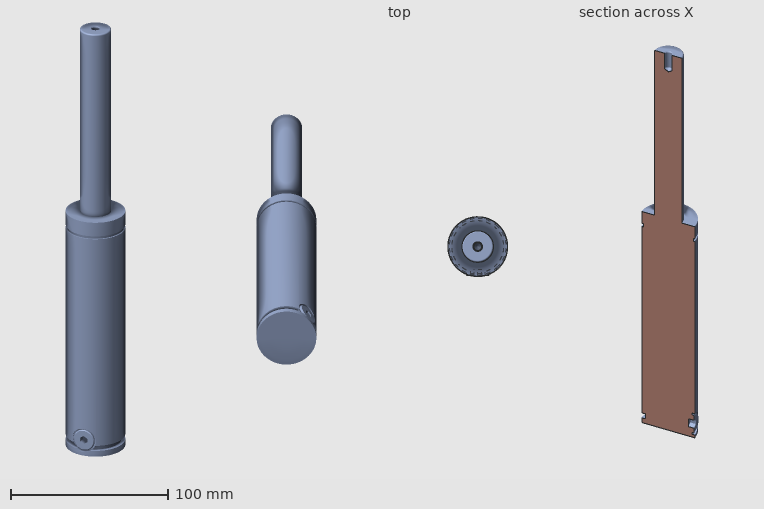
import cadquery as cq
import math

body_diameter = 38.0
body_height = 163.0
total_height = 290.0

rod_diameter = 20.0
rod_end_fillet = 1.0
rod_hole_diameter = 5.0
rod_hole_depth = 12.0
rod_hole_chamfer = 0.5
drill_tip_angle = 118.0

mount_groove_bottom = 4.0
mount_groove_width = 3.5
mount_groove_depth = 2.5
cap_height = 9.5
cap_groove_width = 2.0
cap_groove_depth = 1.0

port_height = 10.5
port_diameter = 16.0
port_floor_depth = 2.0
plug_diameter = 14.0
plug_recess = 0.5
plug_chamfer = 0.5
socket_sides = 6
socket_width = 5.0
socket_depth = 4.0

body_radius = body_diameter / 2


def ring_groove(bottom, width, depth):
    """Ring that cuts a groove of the given width and depth into the body's outside."""
    return (
        cq.Workplane("XY", origin=(0, 0, bottom))
        .circle(body_radius + depth)
        .circle(body_radius - depth)
        .extrude(width)
    )


def make_body():
    """Cylinder with a mounting groove near its foot and a groove under its cap."""
    body = cq.Workplane("XY").circle(body_radius).extrude(body_height)
    body = body.cut(ring_groove(mount_groove_bottom, mount_groove_width, mount_groove_depth))
    cap_groove_bottom = body_height - cap_height - cap_groove_width
    return body.cut(ring_groove(cap_groove_bottom, cap_groove_width, cap_groove_depth))


def make_rod():
    """Piston rod that stands on the body, with a rounded end."""
    return (
        cq.Workplane("XY", origin=(0, 0, body_height))
        .circle(rod_diameter / 2)
        .extrude(total_height - body_height)
        .faces(">Z")
        .edges()
        .fillet(rod_end_fillet)
    )


def port_cylinder(diameter, depth):
    """Cylinder along Y from the body's axis to the given depth below the body's -Y side."""
    return (
        cq.Workplane("XZ", origin=(0, 0, port_height))
        .circle(diameter / 2)
        .extrude(body_radius - depth)
    )


def make_socket():
    """Hexagonal prism that cuts the plug's socket, with corners at its top and bottom."""
    corner_angle = 180 / socket_sides
    across_corners = socket_width / math.cos(math.radians(corner_angle))
    return (
        cq.Workplane("XZ", origin=(0, plug_recess - body_radius, port_height))
        .transformed(rotate=(0, 0, corner_angle))
        .polygon(socket_sides, across_corners)
        .extrude(-socket_depth)
    )


def add_port(part):
    """Round counterbore in the body, with a chamfered plug standing on its floor."""
    bore = port_cylinder(port_diameter, 0)
    floor = port_cylinder(port_diameter, port_floor_depth)
    plug = port_cylinder(plug_diameter, plug_recess).faces("<Y").edges().chamfer(plug_chamfer)
    return part.cut(bore).union(floor).union(plug).cut(make_socket())


def drill_rod(part):
    """Blind hole along the rod's axis, with a chamfered mouth and a conical bottom."""
    radius = rod_hole_diameter / 2
    mouth_radius = radius + rod_hole_chamfer
    hole_bottom = total_height - rod_hole_depth
    tip_length = radius / math.tan(math.radians(drill_tip_angle / 2))
    drill = (
        cq.Workplane("XZ")
        .moveTo(0, total_height)
        .lineTo(mouth_radius, total_height)
        .lineTo(radius, total_height - rod_hole_chamfer)
        .lineTo(radius, hole_bottom)
        .lineTo(0, hole_bottom - tip_length)
        .close()
        .revolve(360, (0, 0), (0, 1))
    )
    return part.cut(drill)


result = make_body().union(make_rod())
result = add_port(result)
result = drill_rod(result)